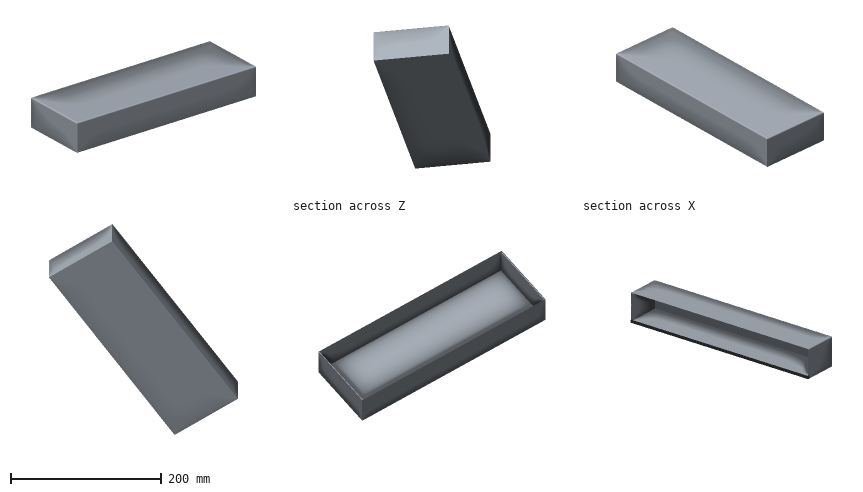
import cadquery as cq

WIDTH = 102.0
LENGTH = 299.0
HEIGHT = 44.0

SHEET = 1.0
BEND_RADIUS = 1.8
CORNER_RELIEF = 0.45
FLOOR_HEIGHT = 2.7

HOLE_DIAMETER = 12.0
HOLE_Z = 30.8

INNER_WIDTH = WIDTH - 2 * SHEET
INNER_LENGTH = LENGTH - 2 * SHEET
FLANGE_TOP = HEIGHT - BEND_RADIUS


def block(width, length, height):
    """Block centred on X and Y, standing on Z = 0."""
    return cq.Workplane("XY").box(width, length, height, centered=(True, True, False))


def front_discs():
    """One central disc and one half disc at each side, as thick as the front wall."""
    side_x = INNER_WIDTH / 2
    discs = (
        cq.Workplane("XZ", origin=(0, -LENGTH / 2 + SHEET, 0))
        .pushPoints([(x, HOLE_Z) for x in (-side_x, 0, side_x)])
        .circle(HOLE_DIAMETER / 2)
        .extrude(SHEET)
    )
    return discs.intersect(block(INNER_WIDTH, LENGTH, HEIGHT))


def make_cover():
    """Lid with full-height side walls, shortened end walls and holes in the front wall."""
    outer = block(WIDTH, LENGTH, HEIGHT).edges(">Z").fillet(BEND_RADIUS)
    cavity = (
        block(INNER_WIDTH, INNER_LENGTH, HEIGHT - SHEET)
        .edges(">Z")
        .fillet(BEND_RADIUS - SHEET)
    )
    corners = (
        cq.Workplane("XY")
        .rect(WIDTH - CORNER_RELIEF, LENGTH - CORNER_RELIEF, forConstruction=True)
        .vertices()
        .rect(CORNER_RELIEF, CORNER_RELIEF)
        .extrude(HEIGHT)
    )
    end_gaps = block(INNER_WIDTH, LENGTH, FLOOR_HEIGHT)
    return outer.cut(cavity).cut(corners).cut(end_gaps).cut(front_discs())


def make_tray():
    """Floor with a flange inside each end wall; the front one has bosses that fill the holes."""
    floor = block(INNER_WIDTH, LENGTH, FLOOR_HEIGHT)
    flanges = block(INNER_WIDTH, INNER_LENGTH, FLANGE_TOP).cut(
        block(INNER_WIDTH, INNER_LENGTH - 2 * SHEET, FLANGE_TOP)
    )
    return floor.union(flanges).union(front_discs())


cover = make_cover()
tray = make_tray()

result = cq.Compound.makeCompound([cover.val(), tray.val()])